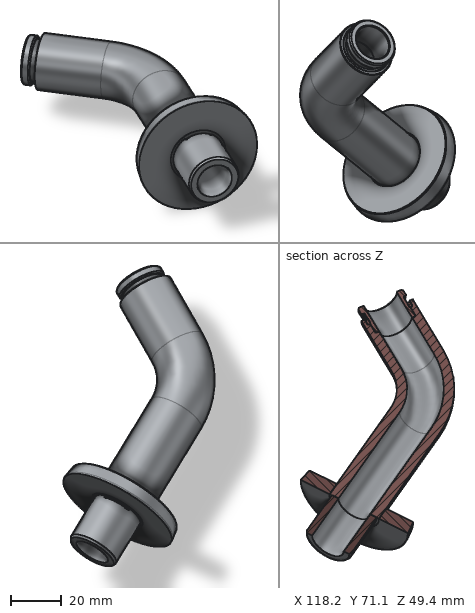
import cadquery as cq
import math

TUBE_RADIUS = 11.5
BORE_RADIUS = 7.2
BEND_RADIUS = 29.3
BEND_ANGLE = 57.5
OUTLET_LENGTH = 27.0

FLANGE_FRONT = 41.5
FLANGE_THICKNESS = 5.8
FLANGE_RADIUS = 24.7
FLANGE_FRONT_RADIUS = 24.0
FLANGE_EDGE_CHAMFER = 0.4
FLANGE_LAND = 0.8
FLANGE_HOLE_CHAMFER = 0.5
FLANGE_BACK = FLANGE_FRONT + FLANGE_THICKNESS

NIPPLE_RADIUS = 10.4
NIPPLE_LENGTH = 20.3
NIPPLE_CHAMFER = 1.1
NIPPLE_END_CHAMFER_RADIAL = 0.6
FLAT_LENGTH = 0.7
FLAT_HALF_HEIGHT = 8.8

COLLET_NECK_RADIUS = 8.8
COLLET_HEAD_RADIUS = 10.0
COLLET_HEAD_BACK = 2.5
COLLET_TIP = 6.0
COLLET_DEPTH = 7.6
COLLET_CHAMFER = 0.6
COLLET_BORE_CHAMFER = 0.4

RING_OUTER_RADIUS = 9.8
RING_DEPTH = 2.4
RING_RECESS = 0.5
MOUTH_CHAMFER = 0.4
TUBE_RIM_CHAMFER = 0.2

bend = math.radians(BEND_ANGLE)
outlet_direction = cq.Vector(-math.cos(bend), -math.sin(bend), 0)
bend_end = cq.Vector(-BEND_RADIUS * math.sin(bend), -BEND_RADIUS * (1 - math.cos(bend)), 0)
tube_end = bend_end + outlet_direction * OUTLET_LENGTH


def revolve_on_outlet(points):
    """Revolve (radius, distance beyond tube end) points about the outlet axis."""
    plane = cq.Plane(origin=tube_end.toTuple(), xDir=(0, 0, 1),
                     normal=outlet_direction.cross(cq.Vector(0, 0, -1)).toTuple())
    return cq.Workplane(plane).polyline(points).close().revolve(360, (0, 0), (0, 1))


def bent_rod(radius):
    """Solid round rod along the complete tube centreline."""
    half_bend = bend / 2
    bend_middle = (-BEND_RADIUS * math.sin(half_bend), -BEND_RADIUS * (1 - math.cos(half_bend)))
    path = (cq.Workplane("XY").moveTo(FLANGE_BACK, 0).lineTo(0, 0)
            .threePointArc(bend_middle, (bend_end.x, bend_end.y))
            .lineTo(tube_end.x, tube_end.y))
    return cq.Workplane("YZ", origin=(FLANGE_BACK, 0, 0)).circle(radius).sweep(path)


def make_tube():
    mouth = revolve_on_outlet([
        (0, 0),
        (RING_OUTER_RADIUS + MOUTH_CHAMFER, 0),
        (RING_OUTER_RADIUS, -MOUTH_CHAMFER),
        (RING_OUTER_RADIUS, -RING_RECESS - RING_DEPTH),
        (COLLET_NECK_RADIUS, -RING_RECESS - RING_DEPTH),
        (COLLET_NECK_RADIUS, -COLLET_DEPTH),
        (0, -COLLET_DEPTH),
    ])
    rim = revolve_on_outlet([
        (TUBE_RADIUS - TUBE_RIM_CHAMFER, 0),
        (TUBE_RADIUS, 0),
        (TUBE_RADIUS, -TUBE_RIM_CHAMFER),
    ])
    return bent_rod(TUBE_RADIUS).cut(bent_rod(BORE_RADIUS)).cut(mouth).cut(rim)


def make_collet():
    return revolve_on_outlet([
        (BORE_RADIUS, -COLLET_DEPTH),
        (COLLET_NECK_RADIUS, -COLLET_DEPTH),
        (COLLET_NECK_RADIUS, COLLET_HEAD_BACK),
        (COLLET_HEAD_RADIUS - COLLET_CHAMFER, COLLET_HEAD_BACK),
        (COLLET_HEAD_RADIUS, COLLET_HEAD_BACK + COLLET_CHAMFER),
        (COLLET_HEAD_RADIUS, COLLET_TIP - COLLET_CHAMFER),
        (COLLET_HEAD_RADIUS - COLLET_CHAMFER, COLLET_TIP),
        (BORE_RADIUS + COLLET_BORE_CHAMFER, COLLET_TIP),
        (BORE_RADIUS, COLLET_TIP - COLLET_BORE_CHAMFER),
    ])


def make_retaining_ring():
    return revolve_on_outlet([
        (COLLET_NECK_RADIUS, -RING_RECESS),
        (RING_OUTER_RADIUS, -RING_RECESS),
        (RING_OUTER_RADIUS, -RING_RECESS - RING_DEPTH),
        (COLLET_NECK_RADIUS, -RING_RECESS - RING_DEPTH),
    ])


def make_flange():
    profile = [
        (FLANGE_FRONT + FLANGE_HOLE_CHAMFER, TUBE_RADIUS),
        (FLANGE_FRONT, TUBE_RADIUS + FLANGE_HOLE_CHAMFER),
        (FLANGE_FRONT, FLANGE_FRONT_RADIUS - FLANGE_EDGE_CHAMFER),
        (FLANGE_FRONT + FLANGE_EDGE_CHAMFER, FLANGE_FRONT_RADIUS),
        (FLANGE_BACK - FLANGE_LAND, FLANGE_RADIUS),
        (FLANGE_BACK, FLANGE_RADIUS),
        (FLANGE_BACK, TUBE_RADIUS),
    ]
    return cq.Workplane("XY").polyline(profile).close().revolve(360, (0, 0), (1, 0))


def make_nipple():
    nipple_end = FLANGE_BACK + NIPPLE_LENGTH
    profile = [
        (FLANGE_BACK, BORE_RADIUS),
        (FLANGE_BACK, NIPPLE_RADIUS),
        (nipple_end - NIPPLE_CHAMFER, NIPPLE_RADIUS),
        (nipple_end, NIPPLE_RADIUS - NIPPLE_END_CHAMFER_RADIAL),
        (nipple_end, BORE_RADIUS),
    ]
    nipple = cq.Workplane("XY").polyline(profile).close().revolve(360, (0, 0), (1, 0))
    flat_cut = cq.Workplane("XY").box(FLAT_LENGTH, 2 * NIPPLE_RADIUS, NIPPLE_RADIUS,
                                      centered=(False, True, False))
    flat_cut = flat_cut.translate((FLANGE_BACK, 0, FLAT_HALF_HEIGHT))
    return nipple.cut(flat_cut).cut(flat_cut.mirror("XY"))


tube = make_tube()
flange = make_flange()
nipple = make_nipple()
collet = make_collet()
retaining_ring = make_retaining_ring()

result = cq.Compound.makeCompound([
    tube.val(),
    flange.val(),
    nipple.val(),
    collet.val(),
    retaining_ring.val(),
])